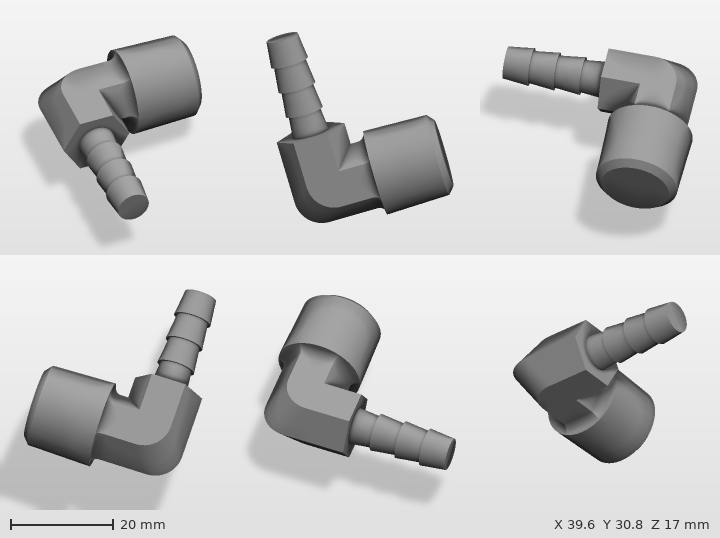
import cadquery as cq
import math


across_flats = 12.0
flat_radius = across_flats / 2
corner_radius = flat_radius / math.cos(math.radians(30))
elbow_face_x = 11.23
bend_radius = 5.55

plug_base_y = 9.92
plug_end_y = 23.9
plug_base_radius = 8.5
plug_tip_radius = 8.15
chamfer_length = 1.23
plug_end_radius = 6.75

neck_fillet = 1.5
neck_start_y = plug_base_y - neck_fillet

tail_end_x = 31.05
barb_pitch = 5.15
barb_count = 3
barb_large_radius = 3.75
barb_small_radius = 3.2
first_barb_x = tail_end_x - barb_count * barb_pitch
root_length = first_barb_x - elbow_face_x
root_radius = 3.65


def limb_outline(half_width, height):
    """L-shaped section of the elbow, parallel to the XY plane, with a rounded outer bend."""
    return (
        cq.Workplane("XY", origin=(0, 0, height))
        .moveTo(-half_width, neck_start_y)
        .lineTo(-half_width, bend_radius - half_width)
        .radiusArc((bend_radius - half_width, -half_width), -bend_radius)
        .lineTo(elbow_face_x, -half_width)
        .lineTo(elbow_face_x, half_width)
        .lineTo(half_width, half_width)
        .lineTo(half_width, neck_start_y)
        .close()
    )


def make_elbow():
    """Hexagonal elbow: each half narrows from the corners at mid-height to a flat."""
    middle = limb_outline(corner_radius, 0).wire().val()
    flat = limb_outline(corner_radius / 2, flat_radius).wire().val()
    upper_half = cq.Workplane(cq.Solid.makeLoft([middle, flat], True))
    return upper_half.union(upper_half.mirror("XY"))


def make_neck():
    """Concave flare on each flat, mitred at the corners and trimmed to the plug rim."""
    bulge = neck_fillet * math.sqrt(0.5)
    arc_radial = flat_radius + neck_fillet - bulge
    arc_axial = plug_base_y - neck_fillet + bulge
    rim = flat_radius + neck_fillet
    neck = cq.Workplane("XZ", origin=(0, neck_start_y, 0)).circle(plug_base_radius).extrude(-neck_fillet)
    for angle in (0, 60, 120):
        flare = (
            cq.Workplane("YZ")
            .moveTo(neck_start_y, -flat_radius)
            .lineTo(neck_start_y, flat_radius)
            .threePointArc((arc_axial, arc_radial), (plug_base_y, rim))
            .lineTo(plug_base_y, -rim)
            .threePointArc((arc_axial, -arc_radial), (neck_start_y, -flat_radius))
            .close()
            .extrude(2 * plug_base_radius, both=True)
            .rotate((0, 0, 0), (0, 1, 0), angle)
        )
        neck = neck.intersect(flare)
    return neck


def make_plug():
    outline = [
        (0, plug_base_y),
        (plug_base_radius, plug_base_y),
        (plug_tip_radius, plug_end_y - chamfer_length),
        (plug_end_radius, plug_end_y),
        (0, plug_end_y),
    ]
    return cq.Workplane("XY").polyline(outline).close().revolve(360, (0, 0, 0), (0, 1, 0))


def tapered_ring(start_x, length, start_radius):
    outline = [
        (start_x, 0),
        (start_x, start_radius),
        (start_x + length, barb_small_radius),
        (start_x + length, 0),
    ]
    return cq.Workplane("XY").polyline(outline).close().revolve(360, (0, 0, 0), (1, 0, 0))


def make_tail():
    tail = tapered_ring(elbow_face_x, root_length, root_radius)
    for index in range(barb_count):
        barb_x = first_barb_x + index * barb_pitch
        tail = tail.union(tapered_ring(barb_x, barb_pitch, barb_large_radius))
    return tail


result = make_elbow().union(make_neck()).union(make_plug()).union(make_tail())